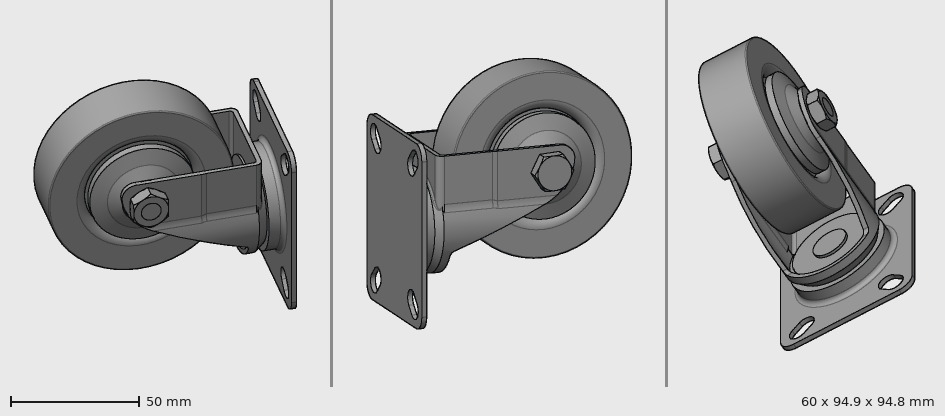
import cadquery as cq
import math


plate_width = 60.0
plate_height = 74.4
plate_thickness = 2.1
plate_corner_radius = 6.0
boss_radius = 21.3
boss_front = 8.7
boss_flare = 2.0
slot_radius = 4.0
slot_outer = (21.9, 30.0)
slot_inner = (18.6, 26.85)

wheel_radius = 37.5
wheel_width = 21.9
wheel_edge_radius = 0.5
wheel_depth = 57.4
wheel_height = 20.1
recess_radius = 21.9
recess_rounding = 4.1

sheet = 2.0
leg_inside = 17.7
leg_outside = 19.5
leg_pad_step = 0.2
pad_ramp_start = 33.5
pad_ramp_end = 35.5
cup_radius = boss_radius
cup_back_radius = 18.4
cup_cone_length = 3.9
cup_front = 16.2
leg_blend = 9.5
web_back = 10.6
web_bend = 2.75
web_inner_bend = 1.4
web_root_blend = 1.4
web_bottom = 7.6
fork_top = 29.8
fork_tip = 67.6
tip_radius = 5.7
nose_point = (64.2, 14.1)
edge_upper = (54.6, 6.6)
edge_lower = (17.6, -8.8)
edge_relief = 2.2

kingpin_radius = 7.5
kingpin_front = 14.7
kingpin_collar_radius = 17.55
kingpin_collar_height = 0.95

cap_radius = 21.3
cap_back = 9.8
cap_rim = 12.9
cap_waist_radius = 14.8
cap_waist = 14.85
cap_nose_radius = 9.6

shank_radius = 4.0
hex_flats = 14.0
head_end = 24.8
nut_end = 25.3
head_turn = 3
hex_bevel = 30
hex_half_sector = 30

leg_face = leg_outside + leg_pad_step
cup_cone_end = boss_front + cup_cone_length
web_front = web_back + sheet
wheel_centre = (0, -wheel_depth, wheel_height)


def wheel_axis_revolve(points):
    """Solid of revolution about the wheel axis, from (X, radius) points."""
    sketch = cq.Workplane("XY", origin=wheel_centre).polyline(points).close()
    return sketch.revolve(360, (0, 0), (1, 0))


def swivel_axis_revolve(points):
    """Solid of revolution about the swivel axis, from (radius, depth) points."""
    outline = [(radius, -depth) for radius, depth in points]
    return cq.Workplane("XY").polyline(outline).close().revolve(360, (0, 0), (0, 1))


def make_shank(start, end):
    """Round bar on the wheel axis between two X positions."""
    sketch = cq.Workplane("YZ", origin=wheel_centre).workplane(offset=start)
    return sketch.circle(shank_radius).extrude(end - start)


axle_hole = make_shank(-plate_width, plate_width)


def make_slot(side, end):
    """Cutter for one slanted mounting slot in the given corner of the plate."""
    run = slot_outer[0] - slot_inner[0]
    rise = slot_outer[1] - slot_inner[1]
    centre = (side * (slot_outer[0] + slot_inner[0]) / 2, end * (slot_outer[1] + slot_inner[1]) / 2)
    angle = math.degrees(math.atan2(end * rise, side * run))
    length = math.hypot(run, rise) + 2 * slot_radius
    return cq.Workplane("XZ").center(*centre).slot2D(length, 2 * slot_radius, angle).extrude(plate_thickness)


def make_plate():
    plate = cq.Workplane("XZ").rect(plate_width, plate_height).extrude(plate_thickness)
    plate = plate.edges("|Y").fillet(plate_corner_radius)
    flare_end = plate_thickness + boss_flare
    flare_radius = boss_radius + boss_flare
    bow = boss_flare * (1 - math.sqrt(0.5))
    boss = (
        cq.Workplane("XY")
        .lineTo(flare_radius, 0)
        .lineTo(flare_radius, -plate_thickness)
        .threePointArc((boss_radius + bow, -plate_thickness - bow), (boss_radius, -flare_end))
        .lineTo(boss_radius, -boss_front)
        .lineTo(0, -boss_front)
        .close()
        .revolve(360, (0, 0), (0, 1))
    )
    plate = plate.union(boss)
    for side in (-1, 1):
        for end in (-1, 1):
            plate = plate.cut(make_slot(side, end))
    return plate


def blend_points(half_width, radius, blend):
    """Start, middle and end of the arc blending a leg face into a round bottom, on the +X side."""
    centre_x = half_width + blend
    centre_z = math.sqrt((radius + blend) ** 2 - centre_x**2)
    angle = math.atan2(centre_z, centre_x)
    middle_angle = math.pi + angle / 2
    middle = (centre_x + blend * math.cos(middle_angle), centre_z + blend * math.sin(middle_angle))
    end = (radius * math.cos(angle), radius * math.sin(angle))
    return (half_width, centre_z), middle, end


def trough(sketch, half_width, radius, blend):
    """Closed XZ outline: straight legs blended into a round bottom, up to the fork top."""
    start, middle, end = blend_points(half_width, radius, blend)
    return (
        sketch.moveTo(half_width, fork_top)
        .lineTo(*start)
        .threePointArc(middle, end)
        .threePointArc((0, -radius), (-end[0], end[1]))
        .threePointArc((-middle[0], middle[1]), (-start[0], start[1]))
        .lineTo(-half_width, fork_top)
        .close()
    )


def at_depth(depth):
    return cq.Workplane("XZ").workplane(offset=depth)


def web_block(half_width, back, front, bend):
    """Block that shapes the flat web, with its two back corners rounded."""
    height = fork_top - web_bottom
    block = at_depth(back).center(0, web_bottom + height / 2).rect(2 * half_width, height).extrude(front - back)
    return block.edges("|Z and >Y").fillet(bend)


def fork_outside():
    cup = swivel_axis_revolve(
        [(0, boss_front), (cup_back_radius, boss_front), (cup_radius, cup_cone_end), (0, cup_cone_end)]
    )
    back = cup.union(web_block(leg_outside, web_back, cup_front, web_bend))
    root = cq.selectors.NearestToPointSelector((0, -web_back, cup_back_radius))
    back = back.edges(root).fillet(web_root_blend)
    body = trough(at_depth(cup_cone_end), leg_outside, cup_radius, leg_blend)
    body = body.extrude(fork_tip - cup_cone_end).cut(bend_clearance())
    return back.union(body).union(leg_pads())


def bend_clearance():
    """Block taking the legs' square back ends away where the web's rounded corners replace them."""
    height = fork_top - web_bottom
    block = at_depth(cup_cone_end).center(0, web_bottom + height / 2).rect(plate_width, height)
    return block.extrude(web_back + web_bend - cup_cone_end)


def leg_pads():
    """Thicker leg ends with their ramps, kept only above the round part of the cup."""
    ramp = trough(at_depth(pad_ramp_start), leg_outside, cup_radius, leg_blend)
    ramp = trough(ramp.workplane(offset=pad_ramp_end - pad_ramp_start), leg_face, cup_radius, leg_blend)
    ramp = ramp.loft(ruled=True)
    pad = trough(at_depth(pad_ramp_end), leg_face, cup_radius, leg_blend)
    pad = pad.extrude(fork_tip - pad_ramp_end)
    pad_bottom = blend_points(leg_face, cup_radius, leg_blend)[2][1]
    height = fork_top - pad_bottom
    upper = at_depth(pad_ramp_start).center(0, pad_bottom + height / 2)
    upper = upper.rect(plate_width, height).extrude(fork_tip - pad_ramp_start)
    return ramp.union(pad).intersect(upper)


def fork_inside():
    web = web_block(leg_inside, web_front, cup_front, web_inner_bend)
    radius = cup_radius - sheet
    cup = at_depth(web_front).circle(radius).extrude(cup_front - web_front)
    upper = at_depth(web_front).center(0, web_bottom + radius / 2)
    upper = upper.rect(2 * radius, radius).extrude(cup_front - web_front)
    legs = trough(at_depth(cup_front), leg_inside, radius, leg_blend + sheet)
    return cup.cut(upper).union(web).union(legs.extrude(fork_tip - cup_front))


def fork_side_outline():
    """Side shape of the fork, extruded across its width."""
    side = cq.Workplane("YZ").workplane(offset=-plate_width / 2).moveTo(-boss_front, fork_top)
    corner = tip_radius * math.sqrt(0.5)
    side = (
        side.lineTo(tip_radius - fork_tip, fork_top)
        .threePointArc(
            (tip_radius - fork_tip - corner, fork_top - tip_radius + corner),
            (-fork_tip, fork_top - tip_radius),
        )
        .threePointArc((-nose_point[0], nose_point[1]), (-edge_upper[0], edge_upper[1]))
        .lineTo(-edge_lower[0], edge_lower[1])
        .tangentArcPoint((-cup_front, edge_lower[1] - edge_relief), relative=False)
        .lineTo(-cup_front, -cup_radius)
        .lineTo(-boss_front, -cup_radius)
        .close()
    )
    return side.extrude(plate_width)


def make_fork():
    shell = fork_outside().cut(fork_inside())
    return shell.intersect(fork_side_outline()).cut(axle_hole)


def make_kingpin():
    head = at_depth(web_front).circle(kingpin_radius).extrude(kingpin_front - web_front)
    collar = at_depth(web_front).circle(kingpin_collar_radius).extrude(kingpin_collar_height)
    return head.union(collar)


def make_wheel():
    half = wheel_width / 2
    floor = half - recess_rounding
    mouth = recess_radius + recess_rounding
    bow = recess_rounding * (1 - math.sqrt(0.5))
    wheel = wheel_axis_revolve([(-half, 0), (-half, wheel_radius), (half, wheel_radius), (half, 0)])
    wheel = wheel.edges("%CIRCLE").fillet(wheel_edge_radius)
    recess = (
        cq.Workplane("XY", origin=wheel_centre)
        .moveTo(floor, 0)
        .lineTo(floor, recess_radius)
        .threePointArc((half - bow, recess_radius + bow), (half, mouth))
        .lineTo(half, 0)
        .close()
        .revolve(360, (0, 0), (1, 0))
    )
    return wheel.cut(recess).cut(recess.mirror("YZ")).cut(axle_hole)


def make_cap(side):
    """Dust cap between the wheel recess and the leg on the given side."""
    outline = [
        (cap_back, 0),
        (cap_back, cap_radius),
        (cap_rim, cap_radius),
        (cap_waist, cap_waist_radius),
        (leg_inside, cap_nose_radius),
        (leg_inside, 0),
    ]
    return wheel_axis_revolve([(side * x, radius) for x, radius in outline]).cut(axle_hole)


def make_hexagon(start, end, turn):
    """Hexagonal block on the wheel axis, with a corner upward when turn is zero."""
    corners = hex_flats / math.cos(math.radians(hex_half_sector))
    sketch = cq.Workplane("YZ", origin=wheel_centre).workplane(offset=start)
    return sketch.transformed(rotate=(0, 0, 90 + turn)).polygon(6, corners).extrude(end - start)


def bevel_cone(end, direction):
    """Cone whose slope bevels the hexagon corners at the end facing the given direction."""
    slope = math.tan(math.radians(hex_bevel))
    face_radius = hex_flats / 2
    base_radius = 3 * face_radius
    base = end - direction * (base_radius - face_radius) * slope
    return wheel_axis_revolve([(base, 0), (base, base_radius), (end, face_radius), (end, 0)])


def make_bolt():
    head = make_hexagon(-head_end, -leg_face, hex_half_sector - head_turn).intersect(bevel_cone(-head_end, -1))
    return head.union(make_shank(-leg_face, nut_end))


def make_nut():
    nut = make_hexagon(leg_face, nut_end, 0)
    nut = nut.intersect(bevel_cone(nut_end, 1)).intersect(bevel_cone(leg_face, -1))
    return nut.cut(axle_hole)


plate = make_plate()
fork = make_fork()
kingpin = make_kingpin()
wheel = make_wheel()
caps = [make_cap(side) for side in (-1, 1)]
bolt = make_bolt()
nut = make_nut()

result = cq.Compound.makeCompound(
    [
        plate.val(),
        fork.val(),
        kingpin.val(),
        wheel.val(),
        *[cap.val() for cap in caps],
        bolt.val(),
        nut.val(),
    ]
)